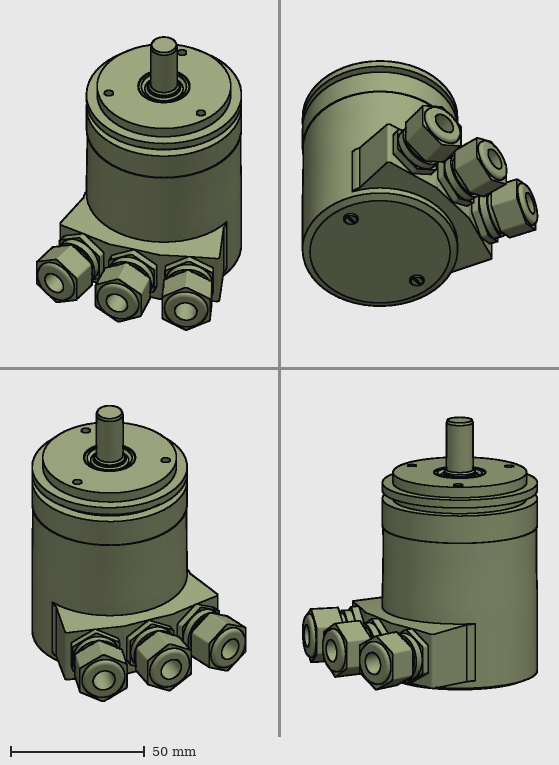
import cadquery as cq
import math

SHAFT_TOP = 20.0
SPIGOT_BOTTOM = -4.0
RIM_BOTTOM = -7.0
GROOVE_BOTTOM = -10.1
SLEEVE_TOP = -20.6
SLEEVE_BOTTOM = -46.5
BLOCK_TOP = -51.55
BLOCK_BOTTOM = -73.4
BEVEL_TOP = -76.2
HOUSING_BOTTOM = -77.4
SCREW_BOTTOM = -78.0

HOUSING_RADIUS = 29.0
SPIGOT_RADIUS = 25.0
SLEEVE_TOP_RADIUS = 28.75
BASE_RADIUS = 26.2

SHAFT_RADIUS = 5.0
SHAFT_CHAMFER_WIDTH = 0.4
SHAFT_CHAMFER_HEIGHT = 1.0
COLLAR_RADIUS = 5.75
COLLAR_HEIGHT = 0.25
COLLAR_CONE_TOP = 1.0
SEAL_OUTER_RADIUS = 9.7
SEAL_BEVEL = 0.3
SEAL_DEPTH = 0.2
SEAL_GROOVE_OUTER_RADIUS = 8.45
SEAL_GROOVE_FLOOR_RADIUS = 7.15
SEAL_GROOVE_INNER_RADIUS = 6.2
SEAL_GROOVE_DEPTH = 1.2
SEAL_GROOVE_ARC_RADIUS = 1.3
SEAL_LIP_DEPTH = 0.45

MOUNTING_HOLE_COUNT = 3
MOUNTING_HOLE_RADIUS = 1.65
MOUNTING_CIRCLE_RADIUS = 21.0
MOUNTING_HOLE_DEPTH = 8.0
DRILL_POINT_ANGLE = 118.0

FRONT_FACE_Y = -34.5
FRONT_FACE_HALF_WIDTH = 10.0
SWEEP_ANGLE = 15.0
SIDE_WALL_ANGLE = 13.5
SWEPT_FACE_LENGTH = 22.4
BLOCK_CORNER_RADIUS = 1.0
BLOCK_ROOT_RADIUS = 6.5
BLOCK_TOP_SLOPE = 5.0

GLAND_Z = -62.5
GLAND_ACROSS_FLATS = 18.0
GLAND_EDGE_RADIUS = 1.0
GLAND_BASE_END = 3.0
GLAND_SHOULDER_END = 6.0
GLAND_NECK_END = 8.0
GLAND_NUT_END = 18.4
GLAND_LENGTH = 20.0
GLAND_SHOULDER_RADIUS = 8.8
GLAND_NECK_RADIUS = 7.75
GLAND_CAP_RADIUS = 8.1
GLAND_CAP_FILLET = 1.4
GLAND_BORE_RADIUS = 4.15
GLAND_BORE_START = -17.0
HEXAGON_SIDES = 6

SCREW_X = 20.0
SCREW_Y = -1.8
SCREW_HEAD_RADIUS = 2.7
SCREW_END_RADIUS = 2.2
SCREW_SLOT_WIDTH = 0.5
SCREW_SLOT_DEPTH = 0.4

SWEEP_SIN = math.sin(math.radians(SWEEP_ANGLE))
SWEEP_COS = math.cos(math.radians(SWEEP_ANGLE))
WALL_SIN = math.sin(math.radians(SIDE_WALL_ANGLE))
WALL_COS = math.cos(math.radians(SIDE_WALL_ANGLE))


def revolve_profile(profile):
    """Turn a closed (radius, height) outline around the shaft axis."""
    return profile.close().revolve(360, (0, 0, 0), (0, 1, 0))


def make_housing():
    """Turned body with spigot, rim groove, slightly tapered sleeve and bevelled base."""
    outline = cq.Workplane("XZ").polyline([
        (0, 0),
        (SPIGOT_RADIUS, 0),
        (SPIGOT_RADIUS, SPIGOT_BOTTOM),
        (HOUSING_RADIUS, SPIGOT_BOTTOM),
        (HOUSING_RADIUS, RIM_BOTTOM),
        (SPIGOT_RADIUS, RIM_BOTTOM),
        (SPIGOT_RADIUS, GROOVE_BOTTOM),
        (HOUSING_RADIUS, GROOVE_BOTTOM),
        (HOUSING_RADIUS, SLEEVE_TOP),
        (SLEEVE_TOP_RADIUS, SLEEVE_TOP),
        (HOUSING_RADIUS, SLEEVE_BOTTOM),
        (HOUSING_RADIUS, BEVEL_TOP),
        (BASE_RADIUS, HOUSING_BOTTOM),
        (0, HOUSING_BOTTOM),
    ])
    return revolve_profile(outline)


def make_seal_recess():
    """Shallow bevelled recess with a rounded groove running around the shaft collar."""
    outline = (
        cq.Workplane("XZ")
        .moveTo(0, 0)
        .lineTo(SEAL_OUTER_RADIUS, 0)
        .lineTo(SEAL_OUTER_RADIUS - SEAL_BEVEL, -SEAL_DEPTH)
        .lineTo(SEAL_GROOVE_OUTER_RADIUS, -SEAL_DEPTH)
        .radiusArc((SEAL_GROOVE_FLOOR_RADIUS, -SEAL_GROOVE_DEPTH), SEAL_GROOVE_ARC_RADIUS)
        .lineTo(SEAL_GROOVE_INNER_RADIUS, -SEAL_LIP_DEPTH)
        .lineTo(0, -SEAL_LIP_DEPTH)
    )
    return revolve_profile(outline)


def make_shaft():
    """Shaft with its chamfered end and the tapered collar at its root."""
    outline = cq.Workplane("XZ").polyline([
        (0, -SEAL_GROOVE_DEPTH),
        (COLLAR_RADIUS, -SEAL_GROOVE_DEPTH),
        (COLLAR_RADIUS, COLLAR_HEIGHT),
        (SHAFT_RADIUS, COLLAR_CONE_TOP),
        (SHAFT_RADIUS, SHAFT_TOP - SHAFT_CHAMFER_HEIGHT),
        (SHAFT_RADIUS - SHAFT_CHAMFER_WIDTH, SHAFT_TOP),
        (0, SHAFT_TOP),
    ])
    return revolve_profile(outline)


def make_mounting_holes():
    """Blind drilled holes with conical ends."""
    point_depth = MOUNTING_HOLE_RADIUS / math.tan(math.radians(DRILL_POINT_ANGLE / 2))
    outline = cq.Workplane("XZ").polyline([
        (0, 0),
        (MOUNTING_HOLE_RADIUS, 0),
        (MOUNTING_HOLE_RADIUS, -MOUNTING_HOLE_DEPTH),
        (0, -MOUNTING_HOLE_DEPTH - point_depth),
    ])
    drill = revolve_profile(outline).translate((0, MOUNTING_CIRCLE_RADIUS, 0))
    holes = cq.Workplane("XY")
    for index in range(MOUNTING_HOLE_COUNT):
        angle = index * 360 / MOUNTING_HOLE_COUNT
        holes = holes.add(drill.rotate((0, 0, 0), (0, 0, 1), angle))
    return holes.combine()


def block_outline():
    """Right half of the block outline: face edge, corner, and the two ends of the root arc."""
    face_edge = (FRONT_FACE_HALF_WIDTH, FRONT_FACE_Y)
    corner = (
        FRONT_FACE_HALF_WIDTH + SWEPT_FACE_LENGTH * SWEEP_COS,
        FRONT_FACE_Y + SWEPT_FACE_LENGTH * SWEEP_SIN,
    )
    wall_distance = corner[0] * WALL_COS + corner[1] * WALL_SIN
    centre_distance = HOUSING_RADIUS + BLOCK_ROOT_RADIUS
    across = wall_distance + BLOCK_ROOT_RADIUS
    along = math.sqrt(centre_distance ** 2 - across ** 2)
    centre = (
        across * WALL_COS + along * WALL_SIN,
        across * WALL_SIN - along * WALL_COS,
    )
    wall_end = (
        centre[0] - BLOCK_ROOT_RADIUS * WALL_COS,
        centre[1] - BLOCK_ROOT_RADIUS * WALL_SIN,
    )
    housing_share = HOUSING_RADIUS / centre_distance
    housing_end = (centre[0] * housing_share, centre[1] * housing_share)
    return face_edge, corner, wall_end, housing_end


def mirrored(point):
    """The matching point on the left half of the block."""
    return (-point[0], point[1])


def make_block():
    """Connection block; its top falls away as a cone outside the housing."""
    face_edge, corner, wall_end, housing_end = block_outline()
    block = (
        cq.Workplane("XY")
        .workplane(offset=BLOCK_BOTTOM)
        .moveTo(*mirrored(face_edge))
        .lineTo(*face_edge)
        .lineTo(*corner)
        .lineTo(*wall_end)
        .radiusArc(housing_end, -BLOCK_ROOT_RADIUS)
        .lineTo(0, 0)
        .lineTo(*mirrored(housing_end))
        .radiusArc(mirrored(wall_end), -BLOCK_ROOT_RADIUS)
        .lineTo(*mirrored(corner))
        .close()
        .extrude(BLOCK_TOP - BLOCK_BOTTOM)
        .edges("|Z")
        .edges(">X or <X")
        .fillet(BLOCK_CORNER_RADIUS)
    )
    limit_radius = 2 * HOUSING_RADIUS
    drop = (limit_radius - HOUSING_RADIUS) * math.tan(math.radians(BLOCK_TOP_SLOPE))
    limit = cq.Workplane("XZ").polyline([
        (0, BLOCK_BOTTOM),
        (limit_radius, BLOCK_BOTTOM),
        (limit_radius, BLOCK_TOP - drop),
        (HOUSING_RADIUS, BLOCK_TOP),
        (0, BLOCK_TOP),
    ])
    return block.intersect(revolve_profile(limit))


def gland_planes():
    """Planes on the three faces of the block, each looking out along a gland axis."""
    swept_x = FRONT_FACE_HALF_WIDTH + SWEPT_FACE_LENGTH / 2 * SWEEP_COS
    swept_y = FRONT_FACE_Y + SWEPT_FACE_LENGTH / 2 * SWEEP_SIN
    up = (0, 0, 1)
    return [
        cq.Plane((-swept_x, swept_y, GLAND_Z), up, (-SWEEP_SIN, -SWEEP_COS, 0)),
        cq.Plane((0, FRONT_FACE_Y, GLAND_Z), up, (0, -1, 0)),
        cq.Plane((swept_x, swept_y, GLAND_Z), up, (SWEEP_SIN, -SWEEP_COS, 0)),
    ]


def gland_hexagon(start, end):
    """Hexagonal stretch of a gland with rounded long edges."""
    across_corners = GLAND_ACROSS_FLATS / math.cos(math.pi / HEXAGON_SIDES)
    return (
        cq.Workplane("XY")
        .workplane(offset=start)
        .polygon(HEXAGON_SIDES, across_corners)
        .extrude(end - start)
        .edges("|Z")
        .fillet(GLAND_EDGE_RADIUS)
    )


def gland_cylinder(radius, start, end):
    """Round stretch of a gland."""
    return cq.Workplane("XY").workplane(offset=start).circle(radius).extrude(end - start)


def make_gland():
    """Solid gland standing on the XY plane."""
    cap = (
        gland_cylinder(GLAND_CAP_RADIUS, GLAND_NECK_END, GLAND_LENGTH)
        .faces(">Z")
        .edges()
        .fillet(GLAND_CAP_FILLET)
    )
    return (
        gland_hexagon(0, GLAND_BASE_END)
        .union(gland_cylinder(GLAND_SHOULDER_RADIUS, GLAND_BASE_END, GLAND_SHOULDER_END))
        .union(gland_cylinder(GLAND_NECK_RADIUS, GLAND_SHOULDER_END, GLAND_NECK_END))
        .union(gland_hexagon(GLAND_NECK_END, GLAND_NUT_END))
        .union(cap)
    )


def make_connections():
    """Block with its glands, bored inward past the housing wall."""
    gland = make_gland()
    bore = gland_cylinder(GLAND_BORE_RADIUS, GLAND_BORE_START, GLAND_LENGTH)
    connections = make_block()
    for plane in gland_planes():
        connections = connections.union(gland.val().moved(cq.Location(plane)))
        connections = connections.cut(bore.val().moved(cq.Location(plane)))
    return connections


def make_screws():
    """Slotted screw heads standing proud of the base."""
    outline = cq.Workplane("XZ").polyline([
        (0, BEVEL_TOP),
        (SCREW_HEAD_RADIUS, BEVEL_TOP),
        (SCREW_HEAD_RADIUS, HOUSING_BOTTOM),
        (SCREW_END_RADIUS, SCREW_BOTTOM),
        (0, SCREW_BOTTOM),
    ])
    slot = (
        cq.Workplane("XY")
        .workplane(offset=SCREW_BOTTOM)
        .rect(2 * SCREW_HEAD_RADIUS, SCREW_SLOT_WIDTH)
        .extrude(SCREW_SLOT_DEPTH)
    )
    screw = revolve_profile(outline).cut(slot)
    left_screw = screw.translate((-SCREW_X, SCREW_Y, 0))
    return left_screw.add(screw.translate((SCREW_X, SCREW_Y, 0))).combine()


housing = make_housing().cut(make_seal_recess()).union(make_shaft()).cut(make_mounting_holes())
result = housing.union(make_connections()).union(make_screws())